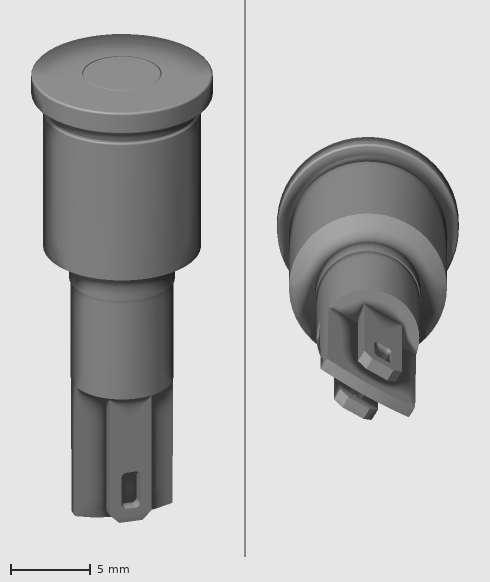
import cadquery as cq
import math

flange_diameter = 11.5
flange_height = 1.5
flange_fillet = 0.15
groove_diameter = 9.6
groove_fillet = 0.3
groove_lower_fillet = 0.07
body_diameter = 10.0
body_top = -1.0
body_fillet = (body_diameter - groove_diameter) / 2 - groove_lower_fillet
body_bottom = -10.65
collar_diameter = 6.7
collar_top = -11.4
collar_bottom = -12.9
barrel_diameter = 6.5
barrel_bottom = -19.9

window_bore_diameter = 5.0
window_diameter = 4.98
window_fillet = 0.1
window_depth = 0.5

blade_thickness = 0.8
middle_root_thickness = 1.12
middle_length = 9.6
middle_edge_length = 9.15

terminal_offset = 1.5
terminal_width = 2.75
terminal_length = 9.3
terminal_chamfer = 0.6
eyelet_width = 1.25
eyelet_height = 2.55
eyelet_fillet = 0.35
eyelet_depth = 7.1


def make_housing():
    """Flange, groove, body, cone, collar and barrel as one turned solid."""
    flange_radius = flange_diameter / 2
    groove_radius = groove_diameter / 2
    body_radius = body_diameter / 2
    collar_radius = collar_diameter / 2
    barrel_radius = barrel_diameter / 2
    arc_inset = 1 - math.sqrt(0.5)
    flange_inset = flange_fillet * arc_inset
    groove_inset = groove_fillet * arc_inset
    groove_lower_inset = groove_lower_fillet * arc_inset
    body_inset = body_fillet * arc_inset
    profile = (
        cq.Workplane("XZ")
        .moveTo(0, flange_height)
        .lineTo(flange_radius - flange_fillet, flange_height)
        .threePointArc(
            (flange_radius - flange_inset, flange_height - flange_inset),
            (flange_radius, flange_height - flange_fillet),
        )
        .lineTo(flange_radius, flange_fillet)
        .threePointArc(
            (flange_radius - flange_inset, flange_inset),
            (flange_radius - flange_fillet, 0),
        )
        .lineTo(groove_radius + groove_fillet, 0)
        .threePointArc(
            (groove_radius + groove_inset, -groove_inset),
            (groove_radius, -groove_fillet),
        )
        .lineTo(groove_radius, body_top + groove_lower_fillet)
        .threePointArc(
            (groove_radius + groove_lower_inset, body_top + groove_lower_inset),
            (groove_radius + groove_lower_fillet, body_top),
        )
        .threePointArc(
            (body_radius - body_inset, body_top - body_inset),
            (body_radius, body_top - body_fillet),
        )
        .lineTo(body_radius, body_bottom)
        .lineTo(collar_radius, collar_top)
        .lineTo(collar_radius, collar_bottom)
        .lineTo(barrel_radius, collar_bottom)
        .lineTo(barrel_radius, barrel_bottom)
        .lineTo(0, barrel_bottom)
        .close()
    )
    return profile.revolve(360, (0, 0, 0), (0, 1, 0))


def make_window_bore():
    """Blind bore in the top of the flange that takes the window."""
    return (
        cq.Workplane("XY", origin=(0, 0, flange_height))
        .circle(window_bore_diameter / 2)
        .extrude(-window_depth)
    )


def make_window():
    """Round window with a softened rim, standing on the floor of its bore."""
    return (
        cq.Workplane("XY", origin=(0, 0, flange_height - window_depth))
        .circle(window_diameter / 2)
        .extrude(window_depth)
        .faces(">Z")
        .edges()
        .fillet(window_fillet)
    )


def make_middle_blade():
    """Blade tapering in thickness, with an arched end and edges on the barrel's cylinder."""
    barrel_radius = barrel_diameter / 2
    tip = barrel_bottom - middle_length
    edge_end = barrel_bottom - middle_edge_length
    taper = (
        cq.Workplane("XZ")
        .moveTo(-middle_root_thickness / 2, barrel_bottom)
        .lineTo(middle_root_thickness / 2, barrel_bottom)
        .lineTo(blade_thickness / 2, tip)
        .lineTo(-blade_thickness / 2, tip)
        .close()
        .extrude(barrel_radius, both=True)
    )
    arched_outline = (
        cq.Workplane("YZ")
        .moveTo(-barrel_radius, barrel_bottom)
        .lineTo(-barrel_radius, edge_end)
        .threePointArc((0, tip), (barrel_radius, edge_end))
        .lineTo(barrel_radius, barrel_bottom)
        .close()
        .extrude(middle_root_thickness, both=True)
    )
    barrel_envelope = (
        cq.Workplane("XY", origin=(0, 0, barrel_bottom))
        .circle(barrel_radius)
        .extrude(-middle_length)
    )
    return taper.intersect(arched_outline).intersect(barrel_envelope)


def make_terminal(center_x):
    """Flat terminal with chamfered lower corners and a rounded eyelet through it."""
    terminal = (
        cq.Workplane("XY", origin=(center_x, 0, barrel_bottom))
        .rect(blade_thickness, terminal_width)
        .extrude(-terminal_length)
        .faces("<Z")
        .edges("|X")
        .chamfer(terminal_chamfer)
    )
    eyelet = (
        cq.Workplane("XY", origin=(center_x, 0, barrel_bottom - eyelet_depth))
        .box(blade_thickness, eyelet_width, eyelet_height)
        .edges("|X")
        .fillet(eyelet_fillet)
    )
    return terminal.cut(eyelet)


result = make_housing().cut(make_window_bore()).union(make_window())
result = result.union(make_middle_blade())
for side in (-1, 1):
    result = result.union(make_terminal(side * terminal_offset))